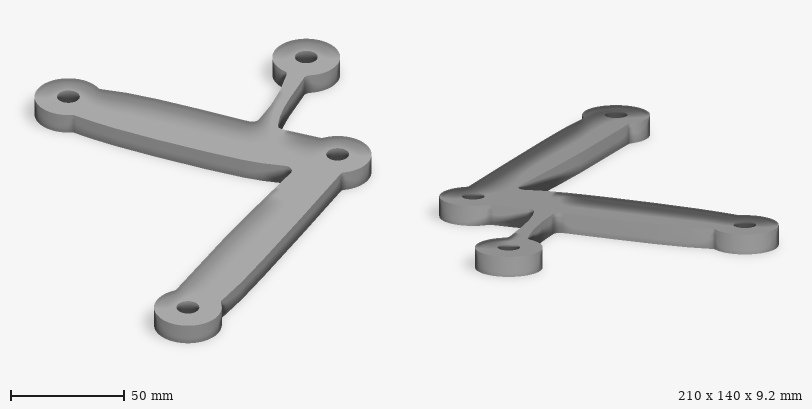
import cadquery as cq

overall_length = 210.0
thickness = 9.2
hole_diameter = 10.0
base_span = 180.0
boss_radius = (overall_length - base_span) / 2

lower_left = (0, 0)
lower_right = (base_span, 0)
apex = (80.0, 100.0)
upper_left = (0, 110.0)
pivots = [lower_left, lower_right, apex, upper_left]

wide_arm_outer = [(-4.2, 10.5), (0.8, 20.0), (12.0, 35.3), (42.6, 70.3), (54.8, 84.5), (69.3, 102.5)]
wide_arm_inner = [(86.0, 85.7), (73.7, 61.0), (64.9, 49.8), (47.2, 29.6), (32.5, 13.9), (10.5, -5.9)]
long_arm_outer = [(90.3, 101.5), (113.8, 79.8), (142.2, 53.0), (169.3, 26.7), (182.7, 11.5)]
long_arm_inner = [(169.0, -5.2), (152.7, 11.0), (130.2, 32.3), (103.1, 60.3), (78.7, 85.7)]
rod_upper = [(10.5, 108.1), (17.8, 102.7), (39.5, 86.7), (53.5, 80.2)]
rod_lower = [(45.1, 72.5), (37.2, 80.0), (17.8, 93.9), (7.3, 99.3)]

blends = [
    ((84.0, 79.8), 4.0),
    ((51.7, 80.8), 3.8),
    ((44.5, 73.0), 3.4),
    ((14.0, 104.8), 3.1),
    ((9.5, 98.3), 3.1),
    ((-1.3, 15.0), 1.7),
    ((179.1, 15.0), 3.1),
    ((165.0, -0.6), 2.0),
    ((95.0, 97.9), 1.7),
    ((65.0, 97.6), 1.7),
    ((14.7, -2.0), 1.7),
]


def make_boss(center):
    return cq.Workplane("XY").center(*center).circle(boss_radius).extrude(thickness)


def make_arm(first_edge, second_edge):
    """Close two bowed edges with straight ends."""
    outline = cq.Workplane("XY").moveTo(*first_edge[0]).spline(first_edge[1:], includeCurrent=True)
    outline = outline.lineTo(*second_edge[0]).spline(second_edge[1:], includeCurrent=True)
    return outline.close().extrude(thickness)


def blend_corner(body, corner, radius):
    """Round the upright edge nearest to a corner."""
    nearest = cq.selectors.NearestToPointSelector((*corner, thickness / 2))
    return body.edges(nearest).fillet(radius)


plate = make_arm(wide_arm_outer, wide_arm_inner)
plate = plate.union(make_arm(long_arm_outer, long_arm_inner))
plate = plate.union(make_arm(rod_upper, rod_lower))
for pivot in pivots:
    plate = plate.union(make_boss(pivot))

for corner, radius in blends:
    plate = blend_corner(plate, corner, radius)

holes = cq.Workplane("XY").pushPoints(pivots).circle(hole_diameter / 2).extrude(thickness)
result = plate.cut(holes)